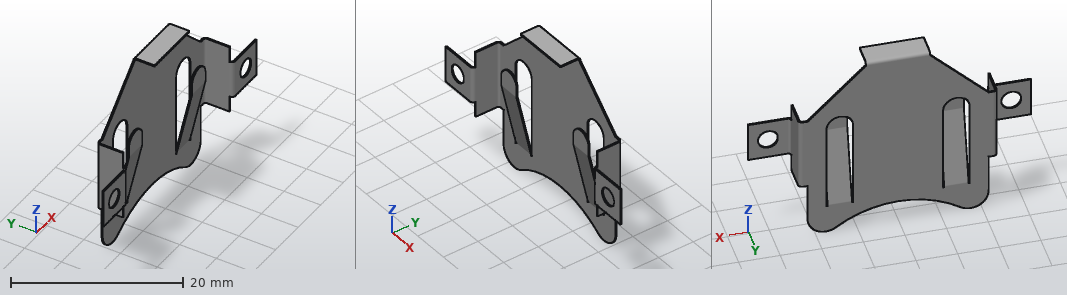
import cadquery as cq
import math


sheet = 0.2
inner_bend = 0.3
outer_bend = inner_bend + sheet

body_half_width = 10.9
plate_top = 12.05
plate_bottom = -11.8
lobe_radius = 2.18
scoop_top = -9.08

lip_width = 7.72
lip_depth = 2.92

overall_length = 34.0
bracket_half_width = 11.95
bracket_depth = 4.05
bracket_height = 9.42
tab_height = 5.1
hole_diameter = 2.38
hole_to_tab_end = 2.38

slot_center = 7.0
slot_width = 3.2
slot_top = 4.7
slot_bottom = -8.13
finger_width = 2.92
finger_top = 4.25
finger_reach = 2.3
finger_lower_bend = -7.95
finger_upper_bend = 1.4


def round_top_prism(width, bottom, top, depth):
    """Upright strip with a semicircular top, centred on X = 0 and running from Y = 0 to Y = -depth."""
    half = width / 2
    return (
        cq.Workplane("XZ")
        .moveTo(-half, bottom)
        .lineTo(half, bottom)
        .lineTo(half, top - half)
        .threePointArc((0, top), (-half, top - half))
        .close()
        .extrude(depth)
    )


def make_plate():
    """Flat plate: sloped shoulders, ears leading to the side bends, and two lobes beside a scoop."""
    top = plate_top - outer_bend
    lip_half = lip_width / 2
    ear_x = bracket_half_width - outer_bend
    ear_z = bracket_height / 2

    lobe_x = body_half_width - lobe_radius
    lobe_z = plate_bottom + lobe_radius
    rise = scoop_top - lobe_z
    scoop_radius = (lobe_x**2 + rise**2 - lobe_radius**2) / (2 * (lobe_radius + rise))
    scoop_z = scoop_top - scoop_radius
    blend = lobe_radius / (lobe_radius + scoop_radius)
    blend_x = lobe_x * (1 - blend)
    blend_z = lobe_z + (scoop_z - lobe_z) * blend

    return (
        cq.Workplane("XZ")
        .moveTo(-lip_half, top)
        .lineTo(lip_half, top)
        .lineTo(body_half_width, ear_z)
        .lineTo(ear_x, ear_z)
        .lineTo(ear_x, -ear_z)
        .lineTo(body_half_width, -ear_z)
        .lineTo(body_half_width, lobe_z)
        .threePointArc((lobe_x, plate_bottom), (blend_x, blend_z))
        .threePointArc((0, scoop_top), (-blend_x, blend_z))
        .threePointArc((-lobe_x, plate_bottom), (-body_half_width, lobe_z))
        .lineTo(-body_half_width, -ear_z)
        .lineTo(-ear_x, -ear_z)
        .lineTo(-ear_x, ear_z)
        .lineTo(-body_half_width, ear_z)
        .close()
        .extrude(sheet)
    )


def make_lip():
    """Lip bent forward along the top edge of the plate."""
    bend_start = plate_top - outer_bend
    return (
        cq.Workplane("YZ")
        .moveTo(0, bend_start)
        .radiusArc((-outer_bend, plate_top), -outer_bend)
        .lineTo(-lip_depth, plate_top)
        .lineTo(-lip_depth, plate_top - sheet)
        .lineTo(-outer_bend, plate_top - sheet)
        .radiusArc((-sheet, bend_start), inner_bend)
        .close()
        .extrude(lip_width / 2, both=True)
    )


def make_bracket():
    """Right-hand bracket: a wall bent forward from the plate, then a narrower tab bent outward."""
    wall_outer = bracket_half_width
    wall_inner = wall_outer - sheet
    tab_start = wall_outer + inner_bend
    tab_end = overall_length / 2
    wall_end = bracket_depth - outer_bend
    half_height = bracket_height / 2
    bracket = (
        cq.Workplane("XY")
        .workplane(offset=-half_height)
        .moveTo(wall_outer - outer_bend, 0)
        .radiusArc((wall_outer, -outer_bend), outer_bend)
        .lineTo(wall_outer, -wall_end)
        .radiusArc((tab_start, sheet - bracket_depth), -inner_bend)
        .lineTo(tab_end, sheet - bracket_depth)
        .lineTo(tab_end, -bracket_depth)
        .lineTo(tab_start, -bracket_depth)
        .radiusArc((wall_inner, -wall_end), outer_bend)
        .lineTo(wall_inner, -outer_bend)
        .radiusArc((wall_outer - outer_bend, -sheet), -inner_bend)
        .close()
        .extrude(bracket_height)
    )

    notch_height = (bracket_height - tab_height) / 2
    notch_z = (bracket_height + tab_height) / 4
    for side in (-1, 1):
        notch = (
            cq.Workplane("XY")
            .box(tab_end - wall_inner, outer_bend, notch_height)
            .translate(((tab_end + wall_inner) / 2, -wall_end - outer_bend / 2, side * notch_z))
        )
        bracket = bracket.cut(notch)

    hole = (
        cq.Workplane("XZ")
        .center(tab_end - hole_to_tab_end, 0)
        .circle(hole_diameter / 2)
        .extrude(bracket_depth)
    )
    return bracket.cut(hole)


def make_finger():
    """Spring finger on X = 0: leans forward from the slot bottom, then turns upright at its tip."""
    lean = math.atan2(finger_reach - sheet, finger_upper_bend - finger_lower_bend)
    miter = sheet * math.tan(lean / 2)
    tip_back = sheet - finger_reach
    lower_outer = (0, finger_lower_bend)
    lower_inner = (-sheet, finger_lower_bend - miter)
    upper_inner = (tip_back, finger_upper_bend)
    upper_outer = (-finger_reach, finger_upper_bend - miter)
    profile = (
        cq.Workplane("YZ")
        .moveTo(0, slot_bottom)
        .lineTo(*lower_outer)
        .lineTo(*upper_inner)
        .lineTo(tip_back, finger_top)
        .lineTo(-finger_reach, finger_top)
        .lineTo(*upper_outer)
        .lineTo(*lower_inner)
        .lineTo(-sheet, slot_bottom)
        .close()
        .extrude(finger_width / 2, both=True)
    )
    for corner, radius in (
        (lower_outer, outer_bend),
        (lower_inner, inner_bend),
        (upper_inner, inner_bend),
        (upper_outer, outer_bend),
    ):
        bend_edge = cq.selectors.NearestToPointSelector((0, *corner))
        profile = profile.edges("|X").edges(bend_edge).fillet(radius)
    return profile.intersect(round_top_prism(finger_width, slot_bottom, finger_top, finger_reach))


result = make_plate().union(make_lip())
bracket = make_bracket()
result = result.union(bracket).union(bracket.mirror("YZ"))

slot = round_top_prism(slot_width, slot_bottom, slot_top, sheet)
finger = make_finger()
for side in (-1, 1):
    place = (side * slot_center, 0, 0)
    result = result.cut(slot.translate(place)).union(finger.translate(place))